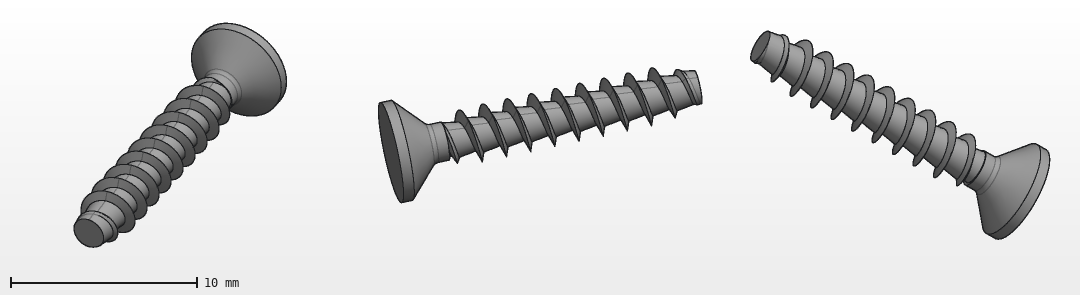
import cadquery as cq
import math

LENGTH = 17.0
HEAD_RADIUS = 2.75
RIM_THICKNESS = 0.6
CONE_END = 2.1
CONE_END_RADIUS = 1.15
NECK_START = 2.38
NECK_RADIUS = 1.05
NECK_FILLET_MID = (1.09, 2.23)
THREAD_START = 3.0

FULL_THREAD_LENGTH = 10.71
FULL_TURNS = 8
PITCH = FULL_THREAD_LENGTH / FULL_TURNS
CREST_RADIUS = 1.53
CORE_RADIUS = 0.87
RAMP_TOP_RADIUS = 1.02
HEAD_FLANK_WIDTH = 0.2
TIP_FLANK_WIDTH = 0.19

FULL_THREAD_START = 4.28
RUN_IN_TURNS = 2
RUN_OUT_TURNS = 2
RUN_IN_RISE = 0.34
RUN_OUT_DROP = 0.45
TIP_RAMP_TOP_RADIUS = 0.71

TURNS = RUN_IN_TURNS + FULL_TURNS + RUN_OUT_TURNS
STEPS_PER_TURN = 36
HELIX_START = FULL_THREAD_START - RUN_IN_TURNS * PITCH


def make_head():
    """Countersunk head, neck fillet and plain neck."""
    outline = (
        cq.Workplane("XZ")
        .lineTo(HEAD_RADIUS, 0)
        .lineTo(HEAD_RADIUS, RIM_THICKNESS)
        .lineTo(CONE_END_RADIUS, CONE_END)
        .threePointArc(NECK_FILLET_MID, (NECK_RADIUS, NECK_START))
        .lineTo(NECK_RADIUS, THREAD_START)
        .lineTo(0, THREAD_START)
        .close()
    )
    return outline.revolve(360, (0, 0, 0), (0, 1, 0))


def crest_radius(turn):
    """Crest radius at the start of a turn."""
    missing_before = max(0, RUN_IN_TURNS - turn)
    missing_after = max(0, turn - RUN_IN_TURNS - FULL_TURNS)
    return CREST_RADIUS - RUN_IN_RISE * missing_before - RUN_OUT_DROP * missing_after


def ramp_top_radius(turn):
    """Radius at the start of a turn where the ridge meets the ramp."""
    return TIP_RAMP_TOP_RADIUS if turn == TURNS else RAMP_TOP_RADIUS


def root_radius(turn):
    """Radius at the foot of the ridge, the same on every turn."""
    return CORE_RADIUS


def helix_turn(radius_at, turn, offset):
    """One helical turn whose radius changes evenly from its start to its end."""
    points = []
    for step in range(STEPS_PER_TURN + 1):
        part = step / STEPS_PER_TURN
        angle = 2 * math.pi * part
        radius = radius_at(turn) * (1 - part) + radius_at(turn + 1) * part
        level = HELIX_START + (turn + part) * PITCH + offset
        points.append(cq.Vector(radius * math.cos(angle), radius * math.sin(angle), level))
    return cq.Edge.makeSpline(points)


def helicoid(turn):
    """Spiral face from the screw axis out to the foot of the ridge."""
    rim = helix_turn(root_radius, turn, -HEAD_FLANK_WIDTH)
    bottom = rim.startPoint().z
    axis = cq.Edge.makeLine(cq.Vector(0, 0, bottom), cq.Vector(0, 0, bottom + PITCH))
    return cq.Face.makeRuledSurface(axis, rim)


def radial_face(turn):
    """Flat end face: half of the shank section over one pitch."""
    level = HELIX_START + turn * PITCH
    foot = level - HEAD_FLANK_WIDTH
    points = [
        cq.Vector(0, 0, foot),
        cq.Vector(CORE_RADIUS, 0, foot),
        cq.Vector(crest_radius(turn), 0, level),
        cq.Vector(ramp_top_radius(turn), 0, level + TIP_FLANK_WIDTH),
        cq.Vector(CORE_RADIUS, 0, foot + PITCH),
        cq.Vector(0, 0, foot + PITCH),
    ]
    return cq.Face.makeFromWires(cq.Wire.makePolygon(points, close=True))


def make_threaded_rod():
    """Solid right-handed threaded rod, longer than needed at both ends."""
    faces = [helicoid(0), helicoid(TURNS), radial_face(0), radial_face(TURNS)]
    for turn in range(TURNS):
        foot = helix_turn(root_radius, turn, -HEAD_FLANK_WIDTH)
        crest = helix_turn(crest_radius, turn, 0)
        ramp_top = helix_turn(ramp_top_radius, turn, TIP_FLANK_WIDTH)
        next_foot = helix_turn(root_radius, turn + 1, -HEAD_FLANK_WIDTH)
        for lower, upper in ((foot, crest), (crest, ramp_top), (ramp_top, next_foot)):
            faces.append(cq.Face.makeRuledSurface(lower, upper))
    rod = cq.Solid.makeSolid(cq.Shell.makeShell(faces))
    return cq.Workplane(obj=rod.fix()).rotate((0, 0, 0), (0, 0, 1), 90)


def make_threaded_shank():
    """Threaded rod cut square at the neck and at the tip."""
    limits = cq.Workplane("XY", origin=(0, 0, THREAD_START))
    limits = limits.circle(HEAD_RADIUS).extrude(LENGTH - THREAD_START)
    return make_threaded_rod().intersect(limits)


screw = make_head().union(make_threaded_shank())

result = screw.rotate((0, 0, 0), (1, 0, 0), 90)